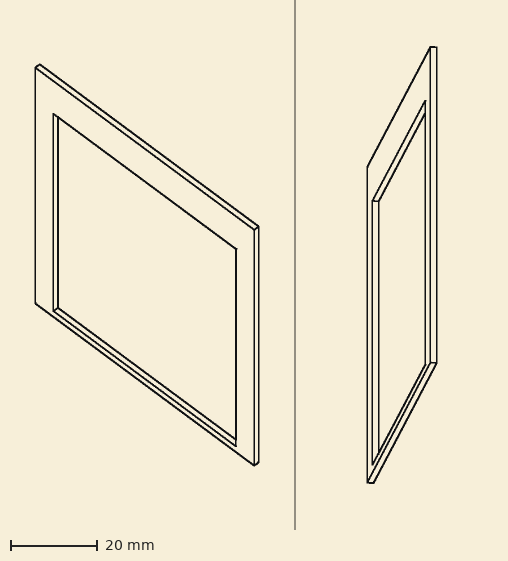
import cadquery as cq

width = 72.0
thickness = 1.5
height = 79.0

side_border = 6.0
bottom_border = 2.0
top_border = 11.0

window_width = width - 2 * side_border
window_height = height - top_border - bottom_border

plate = cq.Workplane("XY").box(width, thickness, height, centered=(True, True, False))

window = (
    cq.Workplane("XY")
    .workplane(offset=bottom_border)
    .box(window_width, thickness, window_height, centered=(True, True, False))
)

result = plate.cut(window)